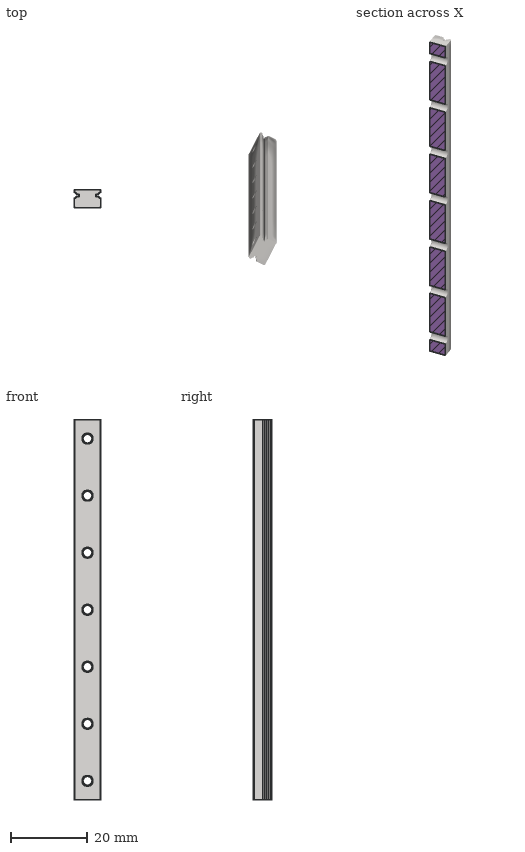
import cadquery as cq

width = 7.0
depth = 4.8
length = 100.0
edge_chamfer = 0.2

groove_y = 0.9
groove_radius = 0.8
groove_depth = 0.7
relief_width = 0.5
relief_depth = 1.2

hole_count = 7
hole_pitch = 15.0
hole_diameter = 2.4
hole_chamfer = 0.2


def make_body():
    body = cq.Workplane("XY").box(width, depth, length)
    return body.edges("|Z").chamfer(edge_chamfer)


def make_side_groove(side):
    """Round groove and relief slot; side is -1 for the -X face and 1 for the +X face."""
    side_x = side * width / 2
    groove_x = side_x + side * (groove_radius - groove_depth)
    groove = (
        cq.Workplane("XY")
        .center(groove_x, groove_y)
        .circle(groove_radius)
        .extrude(length / 2, both=True)
    )
    relief = (
        cq.Workplane("XY")
        .center(side_x, groove_y)
        .rect(2 * relief_depth, relief_width)
        .extrude(length / 2, both=True)
    )
    return groove.union(relief)


def make_mounting_hole(z):
    """Through hole along Y with a chamfered mouth on the -Y face."""
    mouth = cq.Vector(0, -depth / 2, z)
    inward = cq.Vector(0, 1, 0)
    radius = hole_diameter / 2
    bore = cq.Solid.makeCylinder(radius, depth, mouth, inward)
    chamfer = cq.Solid.makeCone(radius + hole_chamfer, radius, hole_chamfer, mouth, inward)
    return bore.fuse(chamfer)


result = make_body()
for side in (-1, 1):
    result = result.cut(make_side_groove(side))
first_hole_z = -hole_pitch * (hole_count - 1) / 2
for index in range(hole_count):
    result = result.cut(cq.Workplane(obj=make_mounting_hole(first_hole_z + index * hole_pitch)))